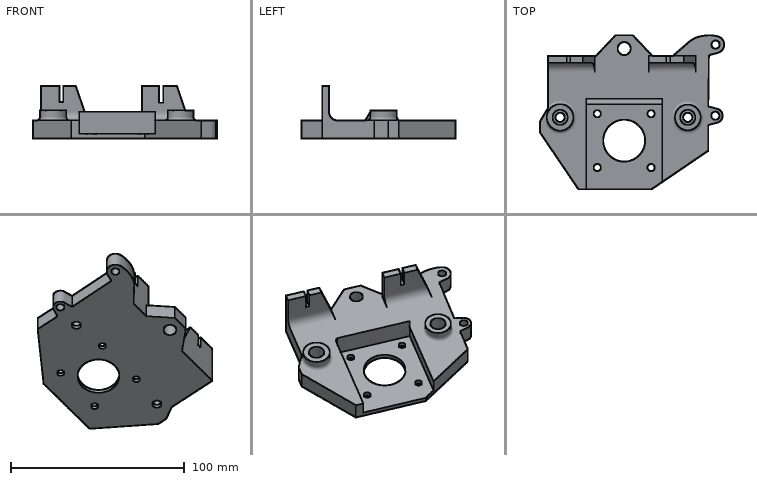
import math

import cadquery as cq


TOTAL_WIDTH = 106.21
TOTAL_DEPTH = 88.7
TOTAL_HEIGHT = 30.41
PLATE_THICKNESS = 10.5
LEFT_TIP_X = -48.6
LEFT_EDGE_X = -44.0
RIGHT_EDGE_X = 48.5
RIGHT_EDGE_LEAN = 0.35
FRONT_Y = -28.0
BACK_Y = 48.8
LEFT_TIP_LOW_Y = 4.8
LEFT_TIP_HIGH_Y = 10.8
LEFT_NOTCH_Y = 18.7
RIGHT_CORNER_Y = -5.8
FRONT_LEFT_X = -26.4
FRONT_RIGHT_X = 15.8

LUG_TIP_Y = FRONT_Y + TOTAL_DEPTH
LUG_TIP_HALF_WIDTH = 5.0
LUG_ROOT_HALF_WIDTH = 16.3
LUG_HOLE_Y = 53.0
LUG_HOLE_DIAMETER = 7.4

EAR_HOLE_DIAMETER = 4.6
EAR_TAPER_ANGLE = 15.0
SIDE_EAR_CENTER = (52.5, 14.35)
SIDE_EAR_RADIUS = 4.2
CORNER_EAR_RADIUS = 5.0
CORNER_EAR_CENTER = (LEFT_TIP_X + TOTAL_WIDTH - CORNER_EAR_RADIUS, 55.3)
CORNER_EAR_ROOT_X = 28.0
CORNER_EAR_RAMP_LENGTH = 12.2
CORNER_EAR_RAMP_ANGLE = 41.0
CORNER_EAR_CREST = (48.2, LUG_TIP_Y)

POCKET_HALF_WIDTH = 21.9
POCKET_BACK_Y = 21.0
POCKET_FLOOR = 2.8
PILOT_DIAMETER = 24.0
MOTOR_HOLE_SPACING = 31.0
MOTOR_HOLE_DIAMETER = 4.0

RIB_HEIGHT = 5.0
RIB_DEPTH = 3.0

BRACKET_LENGTH = 27.0
BRACKET_TOP_LENGTH = 20.2
BRACKET_THICKNESS = 4.0
BRACKET_FILLET = 5.0
LEFT_BRACKET_X = LEFT_EDGE_X
RIGHT_BRACKET_X = 14.2
LEFT_SLOT_START = 10.9
LEFT_SLOT_WIDTH = 2.0
LEFT_SLOT_DEPTH = 9.3
RIGHT_SLOT_START = 10.0
RIGHT_SLOT_WIDTH = 2.2
RIGHT_SLOT_DEPTH = 9.7

BOSS_HEIGHT = 5.8
BOSS_FILLET = 2.0
BOSS_HOLE_DIAMETER = 5.2
BOSS_BORE_DIAMETER = 8.7
BOSS_BORE_FLOOR = POCKET_FLOOR
LEFT_BOSS_CENTER = (-36.9, 13.4)
LEFT_BOSS_RADIUS = 7.65
RIGHT_BOSS_CENTER = (36.6, 13.4)
RIGHT_BOSS_RADIUS = 7.4


def point_on_circle(center, radius, angle):
    radians = math.radians(angle)
    return (center[0] + radius * math.cos(radians), center[1] + radius * math.sin(radians))


def point_on_flank(touch_point, flank_angle, x):
    """Point at the given X on the line through touch_point at flank_angle degrees."""
    slope = math.tan(math.radians(flank_angle))
    return (x, touch_point[1] + slope * (x - touch_point[0]))


def direction(angle):
    """Unit vector at the given angle in degrees from the X axis."""
    return point_on_circle((0, 0), 1, angle)


def plate_prism(height):
    """Outer outline of the plate, extruded up from the underside."""
    touch_angle = 90 - EAR_TAPER_ANGLE
    side_low = point_on_circle(SIDE_EAR_CENTER, SIDE_EAR_RADIUS, -touch_angle)
    side_end = point_on_circle(SIDE_EAR_CENTER, SIDE_EAR_RADIUS, 0)
    side_high = point_on_circle(SIDE_EAR_CENTER, SIDE_EAR_RADIUS, touch_angle)
    corner_low = point_on_circle(CORNER_EAR_CENTER, CORNER_EAR_RADIUS, -touch_angle)
    corner_end = point_on_circle(CORNER_EAR_CENTER, CORNER_EAR_RADIUS, 0)
    corner_high = point_on_circle(CORNER_EAR_CENTER, CORNER_EAR_RADIUS, touch_angle)
    corner_root = (CORNER_EAR_ROOT_X, BACK_Y)
    ramp_end = point_on_circle(corner_root, CORNER_EAR_RAMP_LENGTH, CORNER_EAR_RAMP_ANGLE)
    crest_tangents = [direction(180 - EAR_TAPER_ANGLE), direction(180 + CORNER_EAR_RAMP_ANGLE)]
    return (
        cq.Workplane("XY")
        .moveTo(FRONT_LEFT_X, FRONT_Y)
        .lineTo(FRONT_RIGHT_X, FRONT_Y)
        .lineTo(RIGHT_EDGE_X, RIGHT_CORNER_Y)
        .lineTo(*point_on_flank(side_low, EAR_TAPER_ANGLE, RIGHT_EDGE_X))
        .lineTo(*side_low)
        .threePointArc(side_end, side_high)
        .lineTo(*point_on_flank(side_high, -EAR_TAPER_ANGLE, RIGHT_EDGE_X))
        .lineTo(*point_on_flank(corner_low, EAR_TAPER_ANGLE, RIGHT_EDGE_X + RIGHT_EDGE_LEAN))
        .lineTo(*corner_low)
        .threePointArc(corner_end, corner_high)
        .spline([CORNER_EAR_CREST, ramp_end], tangents=crest_tangents, includeCurrent=True)
        .lineTo(*corner_root)
        .lineTo(LUG_ROOT_HALF_WIDTH, BACK_Y)
        .lineTo(LUG_TIP_HALF_WIDTH, LUG_TIP_Y)
        .lineTo(-LUG_TIP_HALF_WIDTH, LUG_TIP_Y)
        .lineTo(-LUG_ROOT_HALF_WIDTH, BACK_Y)
        .lineTo(LEFT_EDGE_X, BACK_Y)
        .lineTo(LEFT_EDGE_X, LEFT_NOTCH_Y)
        .lineTo(LEFT_TIP_X, LEFT_TIP_HIGH_Y)
        .lineTo(LEFT_TIP_X, LEFT_TIP_LOW_Y)
        .close()
        .extrude(height)
    )


def boss(center, radius):
    """Solid boss with a concave fillet at its foot."""
    fillet_center = (radius + BOSS_FILLET, BOSS_FILLET)
    return (
        cq.Workplane("XZ")
        .lineTo(radius + BOSS_FILLET, 0)
        .threePointArc(point_on_circle(fillet_center, BOSS_FILLET, 225), (radius, BOSS_FILLET))
        .lineTo(radius, BOSS_HEIGHT)
        .lineTo(0, BOSS_HEIGHT)
        .close()
        .revolve(360, (0, 0), (0, 1))
        .translate((center[0], center[1], PLATE_THICKNESS))
    )


def bracket(start_x, slot_start, slot_width, slot_depth):
    """Upright at the back edge with a filleted foot, a slanted right end and a slot from the top."""
    rise = TOTAL_HEIGHT - PLATE_THICKNESS
    wall_y = BACK_Y - BRACKET_THICKNESS
    fillet_center = (wall_y - BRACKET_FILLET, PLATE_THICKNESS + BRACKET_FILLET)
    profile = (
        cq.Workplane("YZ", origin=(start_x, 0, 0))
        .moveTo(BACK_Y, PLATE_THICKNESS)
        .lineTo(BACK_Y, TOTAL_HEIGHT)
        .lineTo(wall_y, TOTAL_HEIGHT)
        .lineTo(wall_y, PLATE_THICKNESS + BRACKET_FILLET)
        .threePointArc(
            point_on_circle(fillet_center, BRACKET_FILLET, -45),
            (wall_y - BRACKET_FILLET, PLATE_THICKNESS),
        )
        .close()
        .extrude(BRACKET_LENGTH)
    )
    face = (
        cq.Workplane("XZ", origin=(start_x, BACK_Y, PLATE_THICKNESS))
        .lineTo(BRACKET_LENGTH, 0)
        .lineTo(BRACKET_TOP_LENGTH, rise)
        .lineTo(slot_start + slot_width, rise)
        .lineTo(slot_start + slot_width, rise - slot_depth)
        .lineTo(slot_start, rise - slot_depth)
        .lineTo(slot_start, rise)
        .lineTo(0, rise)
        .close()
        .extrude(BRACKET_THICKNESS + BRACKET_FILLET)
    )
    return profile.intersect(face)


def rib():
    """Wedge along the back of the pocket, sloping down towards the back."""
    return (
        cq.Workplane("YZ", origin=(-POCKET_HALF_WIDTH, 0, PLATE_THICKNESS))
        .moveTo(POCKET_BACK_Y, 0)
        .lineTo(POCKET_BACK_Y + RIB_DEPTH, 0)
        .lineTo(POCKET_BACK_Y, RIB_HEIGHT)
        .close()
        .extrude(2 * POCKET_HALF_WIDTH)
    )


def pocket():
    """Cutter for the motor pocket, from its floor out through the top and the front."""
    length = POCKET_BACK_Y - FRONT_Y
    return (
        cq.Workplane("XY", origin=(0, FRONT_Y, POCKET_FLOOR))
        .box(2 * POCKET_HALF_WIDTH, length, TOTAL_HEIGHT, centered=(True, False, False))
    )


def vertical_hole(center, diameter, bottom=0.0):
    """Cutter for a round hole that runs from the given height out through the top."""
    return (
        cq.Workplane("XY", origin=(0, 0, bottom))
        .center(*center)
        .circle(diameter / 2)
        .extrude(TOTAL_HEIGHT)
    )


bosses = [(LEFT_BOSS_CENTER, LEFT_BOSS_RADIUS), (RIGHT_BOSS_CENTER, RIGHT_BOSS_RADIUS)]

result = plate_prism(PLATE_THICKNESS)
for center, radius in bosses:
    result = result.union(boss(center, radius))
result = result.intersect(plate_prism(TOTAL_HEIGHT))
result = result.union(bracket(LEFT_BRACKET_X, LEFT_SLOT_START, LEFT_SLOT_WIDTH, LEFT_SLOT_DEPTH))
result = result.union(bracket(RIGHT_BRACKET_X, RIGHT_SLOT_START, RIGHT_SLOT_WIDTH, RIGHT_SLOT_DEPTH))
result = result.union(rib())
result = result.cut(pocket())

result = result.cut(vertical_hole((0, 0), PILOT_DIAMETER))
for side_x in (-1, 1):
    for side_y in (-1, 1):
        motor_hole = (side_x * MOTOR_HOLE_SPACING / 2, side_y * MOTOR_HOLE_SPACING / 2)
        result = result.cut(vertical_hole(motor_hole, MOTOR_HOLE_DIAMETER))
result = result.cut(vertical_hole((0, LUG_HOLE_Y), LUG_HOLE_DIAMETER))
for ear_center in (SIDE_EAR_CENTER, CORNER_EAR_CENTER):
    result = result.cut(vertical_hole(ear_center, EAR_HOLE_DIAMETER))
for center, radius in bosses:
    result = result.cut(vertical_hole(center, BOSS_HOLE_DIAMETER))
    result = result.cut(vertical_hole(center, BOSS_BORE_DIAMETER, bottom=BOSS_BORE_FLOOR))